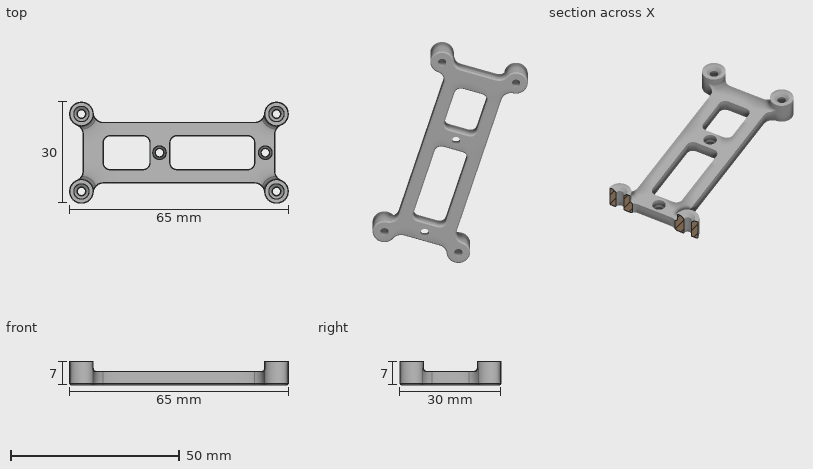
import cadquery as cq
import math

length = 65.0
width = 30.0
height = 7.0

plate_length = 57.0
plate_width = 18.0
plate_thickness = 4.0
bottom_chamfer = 0.4

post_diameter = 7.0
post_radius = post_diameter / 2
post_x = length / 2 - post_radius
post_y = width / 2 - post_radius
post_centers = [(sx * post_x, sy * post_y) for sx in (-1, 1) for sy in (-1, 1)]
side_blend_radius = 3.0
top_blend_radius = 1.0

hole_diameter = 2.5
countersink_diameter = 4.55
countersink_angle = 90
counterbore_diameter = 4.0
counterbore_depth = 2.0
plate_hole_centers = [(-5.8, 0), (25.7, 0)]

window_spans = [(-22.5, -8.65), (-2.65, 22.5)]
window_width = 10.0
window_corner_radius = 2.0


def make_post(x, y):
    """Post whose cylinder seam faces away from the plate, clear of the blends."""
    outward_angle = math.degrees(math.atan2(math.copysign(1, y), math.copysign(1, x)))
    post = cq.Workplane("XY").circle(post_radius).extrude(height)
    return post.rotate((0, 0, 0), (0, 0, 1), outward_angle).translate((x, y, 0))


def side_blend(offset):
    """Center and post tangent point of an arc touching a post and a plate side.

    Distances are from the post center: along the side, toward the middle of the
    plate, and outward from the side, which lies `offset` inward of the center.
    """
    center_out = side_blend_radius - offset
    center_distance = post_radius + side_blend_radius
    center_along = math.sqrt(center_distance**2 - center_out**2)
    contact = post_radius / center_distance
    return center_along, contact * center_along, contact * center_out


def make_web():
    """Web joining the post at +X +Y to the plate, flared where it meets the post."""
    plate_x = plate_length / 2
    plate_y = plate_width / 2
    along_x, x_contact, x_contact_out = side_blend(post_y - plate_y)
    along_y, y_contact, y_contact_out = side_blend(post_x - plate_x)
    web_height = plate_thickness + top_blend_radius
    outline = (
        cq.Workplane("XY")
        .moveTo(post_x, post_y)
        .lineTo(post_x - x_contact, post_y + x_contact_out)
        .radiusArc((post_x - along_x, plate_y), side_blend_radius)
        .lineTo(post_x - along_x, post_y - along_y)
        .lineTo(plate_x, post_y - along_y)
        .radiusArc((post_x + y_contact_out, post_y - y_contact), side_blend_radius)
        .close()
    )
    flare = (
        cq.Workplane("XZ")
        .lineTo(length / 2, 0)
        .lineTo(length / 2, plate_thickness)
        .lineTo(post_radius + top_blend_radius, plate_thickness)
        .radiusArc((post_radius, web_height), top_blend_radius)
        .lineTo(0, web_height)
        .close()
        .revolve(360, (0, 0), (0, 1))
        .rotate((0, 0, 0), (0, 0, 1), 45)
        .translate((post_x, post_y, 0))
    )
    return outline.extrude(web_height).intersect(flare)


def make_body():
    """Plate, webs and posts."""
    body = cq.Workplane("XY").rect(plate_length, plate_width).extrude(plate_thickness)
    web = make_web()
    half_webs = web.union(web.mirror("YZ"))
    body = body.union(half_webs).union(half_webs.mirror("XZ"))
    for x, y in post_centers:
        body = body.union(make_post(x, y))
    return body.clean()


def cut_windows(body):
    for left, right in window_spans:
        window = (
            cq.Workplane("XY")
            .center((left + right) / 2, 0)
            .rect(right - left, window_width)
            .extrude(plate_thickness)
            .edges("|Z")
            .fillet(window_corner_radius)
        )
        body = body.cut(window)
    return body


def cut_holes(body):
    body = (
        cq.Workplane("XY", origin=(0, 0, height))
        .add(body)
        .pushPoints(post_centers)
        .cskHole(hole_diameter, countersink_diameter, countersink_angle)
    )
    return (
        body.copyWorkplane(cq.Workplane("XY", origin=(0, 0, plate_thickness)))
        .pushPoints(plate_hole_centers)
        .cboreHole(hole_diameter, counterbore_diameter, counterbore_depth)
    )


body = cut_windows(make_body())
body = body.faces("<Z").edges().chamfer(bottom_chamfer)
result = cut_holes(body)